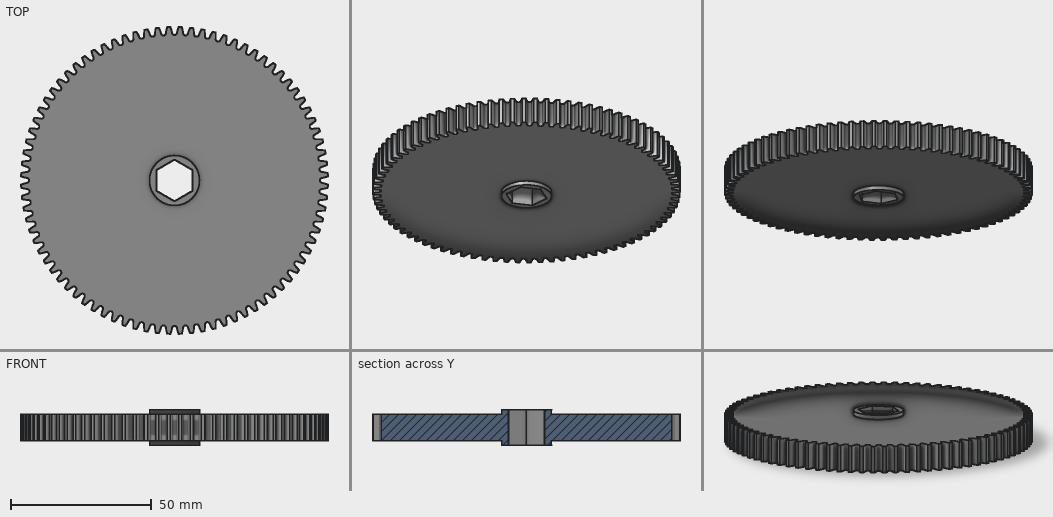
import math

import cadquery as cq

INCH = 25.4
TOOTH_COUNT = 84
DIAMETRAL_PITCH = 20
MODULE = INCH / DIAMETRAL_PITCH
PRESSURE_ANGLE = math.radians(14.5)
DEDENDUM_FACTOR = 1.28
TOOTH_THINNING = 0.08

PITCH_RADIUS = MODULE * TOOTH_COUNT / 2
TIP_RADIUS = PITCH_RADIUS + MODULE
ROOT_RADIUS = PITCH_RADIUS - DEDENDUM_FACTOR * MODULE
BASE_RADIUS = PITCH_RADIUS * math.cos(PRESSURE_ANGLE)
TOOTH_PITCH_ANGLE = 2 * math.pi / TOOTH_COUNT
FLANK_POINT_COUNT = 4
ROUND_ITERATIONS = 12

FACE_WIDTH = 0.375 * INCH
HUB_LENGTH = 12.65
HUB_DIAMETER = 0.7 * INCH
HEX_SIDES = 6
HEX_ACROSS_FLATS = 12.75


def involute(angle):
    """Involute function, the polar angle swept from the base circle at a pressure angle."""
    return math.tan(angle) - angle


HALF_GAP_AT_PITCH = TOOTH_PITCH_ANGLE / 4 + TOOTH_THINNING / (2 * PITCH_RADIUS)
HALF_GAP_AT_BASE = HALF_GAP_AT_PITCH - involute(PRESSURE_ANGLE)


def polar(radius, angle):
    return (radius * math.cos(angle), radius * math.sin(angle))


def flank_pressure_angle(radius):
    return math.acos(BASE_RADIUS / radius)


def half_gap_angle(radius):
    """Half the angle of the gap between two neighbouring teeth at a radius."""
    return HALF_GAP_AT_BASE + involute(flank_pressure_angle(radius))


def full_round_radius():
    """Radius of the gap bottom: one arc through the root circle, tangent to both flanks."""
    radius = 0.0
    for _ in range(ROUND_ITERATIONS):
        radius = BASE_RADIUS * half_gap_angle(ROOT_RADIUS + radius)
    return radius


def add_tooth_gap(outline, gap_angle):
    """Trace one gap counterclockwise, from the tip corner before it to the one after it."""
    round_radius = full_round_radius()
    centre_radius = ROOT_RADIUS + round_radius
    normal_length = math.sqrt(centre_radius**2 - BASE_RADIUS**2) - round_radius
    flank_start_radius = math.hypot(BASE_RADIUS, normal_length)

    step = (TIP_RADIUS - flank_start_radius) / (FLANK_POINT_COUNT - 1)
    radii = [flank_start_radius + i * step for i in range(FLANK_POINT_COUNT)]
    falling_flank = [polar(r, gap_angle - half_gap_angle(r)) for r in reversed(radii)]
    rising_flank = [polar(r, gap_angle + half_gap_angle(r)) for r in radii]

    return (
        outline.spline(falling_flank[1:], includeCurrent=True)
        .threePointArc(polar(ROOT_RADIUS, gap_angle), rising_flank[0])
        .spline(rising_flank[1:], includeCurrent=True)
    )


def centred_extrusion(profile, length):
    """Extrude a profile so that the XY plane halves the length."""
    return profile.extrude(length).translate((0, 0, -length / 2))


def make_toothed_disc():
    """Disc with a tooth gap centred on the +X axis."""
    half_gap_at_tip = half_gap_angle(TIP_RADIUS)
    outline = cq.Workplane("XY").moveTo(*polar(TIP_RADIUS, -half_gap_at_tip))
    for i in range(TOOTH_COUNT):
        gap_angle = i * TOOTH_PITCH_ANGLE
        outline = add_tooth_gap(outline, gap_angle)
        outline = outline.threePointArc(
            polar(TIP_RADIUS, gap_angle + TOOTH_PITCH_ANGLE / 2),
            polar(TIP_RADIUS, gap_angle + TOOTH_PITCH_ANGLE - half_gap_at_tip),
        )
    return centred_extrusion(outline.close(), FACE_WIDTH)


def make_hub():
    return centred_extrusion(cq.Workplane("XY").circle(HUB_DIAMETER / 2), HUB_LENGTH)


def make_hex_bore():
    """Through bore with two of its corners on the Y axis."""
    across_corners = HEX_ACROSS_FLATS / math.cos(math.pi / HEX_SIDES)
    hexagon = cq.Workplane("XY").polygon(HEX_SIDES, across_corners)
    return centred_extrusion(hexagon, HUB_LENGTH).rotate((0, 0, 0), (0, 0, 1), 90)


result = make_toothed_disc().union(make_hub()).cut(make_hex_bore())